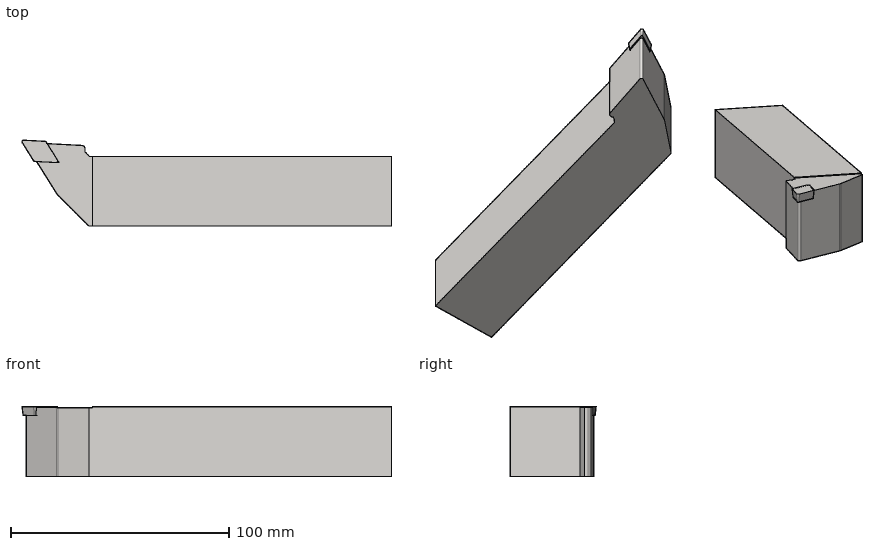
import cadquery as cq
import math

RIGHT_ANGLE = 90.0

TOOL_LENGTH = 170.0
SHANK_SIZE = 32.0
HEAD_LENGTH = 33.0
HEAD_DROP = 0.4
HEAD_TOP = SHANK_SIZE - HEAD_DROP

INSCRIBED_CIRCLE = 9.525
INSERT_THICKNESS = 3.97
NOSE_ANGLE = 55.0
NOSE_RADIUS = 0.8
RELIEF_ANGLE = 7.0
EDGE_TILT = 3.0
TIP_Y = 39.5
TIP = (0.0, TIP_Y)
INSERT_SIDE = INSCRIBED_CIRCLE / math.sin(math.radians(NOSE_ANGLE))
FLANK_TILT = EDGE_TILT + NOSE_ANGLE

HEAD_SETBACK = 1.0
HEAD_NOSE_RADIUS = 0.8
HEAD_BACK_END = 29.6
HEAD_BACK_RADIUS = 1.5
SHOULDER_CHAMFER = 2.0
BEVEL_END = 31.3
BEVEL_ANGLE = 45.0
BEVEL_BLEND_RADIUS = 5.5


def along(start, tilt, distance):
    """Point reached from start, going toward +X and downward in Y at a tilt in degrees."""
    angle = math.radians(tilt)
    return (start[0] + distance * math.cos(angle), start[1] - distance * math.sin(angle))


def crossing(start_a, tilt_a, start_b, tilt_b):
    """Point where two tilted lines cross."""
    slope_a = -math.tan(math.radians(tilt_a))
    slope_b = -math.tan(math.radians(tilt_b))
    x = (start_b[1] - start_a[1] + slope_a * start_a[0] - slope_b * start_b[0]) / (slope_a - slope_b)
    return (x, start_a[1] + slope_a * (x - start_a[0]))


def round_upright_edge(body, point, radius):
    """Round the upright edge nearest to a plan point."""
    nearest = cq.selectors.NearestToPointSelector((point[0], point[1], SHANK_SIZE / 2))
    return body.edges("|Z").edges(nearest).fillet(radius)


def make_rhombus(rounded):
    """Insert shape tapering downward; all four corners are either rounded or sharp."""
    back = along(TIP, EDGE_TILT, INSERT_SIDE)
    inner = along(back, FLANK_TILT, INSERT_SIDE)
    flank = along(TIP, FLANK_TILT, INSERT_SIDE)
    outline = cq.Sketch().polygon([TIP, back, inner, flank, TIP])
    if rounded:
        outline = outline.vertices().fillet(NOSE_RADIUS)
    top_plane = cq.Workplane("XY", origin=(0, 0, SHANK_SIZE))
    return top_plane.placeSketch(outline).extrude(-INSERT_THICKNESS, taper=RELIEF_ANGLE)


def make_holder():
    """Shank and cranked head in one piece, with a pocket for the insert."""
    back_start = along(TIP, EDGE_TILT + RIGHT_ANGLE, HEAD_SETBACK)
    flank_start = along(TIP, FLANK_TILT - RIGHT_ANGLE, HEAD_SETBACK)
    bevel_start = (BEVEL_END, 0.0)
    nose = crossing(back_start, EDGE_TILT, flank_start, FLANK_TILT)
    bend = crossing(flank_start, FLANK_TILT, bevel_start, BEVEL_ANGLE)
    back_corner = crossing(back_start, EDGE_TILT, (HEAD_BACK_END, 0.0), RIGHT_ANGLE)
    shoulder_top = (HEAD_BACK_END, SHANK_SIZE + SHOULDER_CHAMFER)
    shoulder_end = (HEAD_BACK_END + SHOULDER_CHAMFER, SHANK_SIZE)
    outline = [
        nose,
        back_corner,
        shoulder_top,
        shoulder_end,
        (TOOL_LENGTH, SHANK_SIZE),
        (TOOL_LENGTH, 0.0),
        bevel_start,
        bend,
    ]
    body = cq.Workplane("XY").polyline(outline).close().extrude(SHANK_SIZE)
    body = round_upright_edge(body, nose, HEAD_NOSE_RADIUS)
    body = round_upright_edge(body, back_corner, HEAD_BACK_RADIUS)
    body = round_upright_edge(body, bend, BEVEL_BLEND_RADIUS)

    head_relief = cq.Workplane("XY", origin=(0, 0, HEAD_TOP)).box(
        HEAD_LENGTH, TIP_Y, HEAD_DROP, centered=False
    )
    return body.cut(head_relief).cut(make_rhombus(rounded=False))


holder = make_holder()
insert = make_rhombus(rounded=True)

result = cq.Compound.makeCompound([holder.val(), insert.val()])